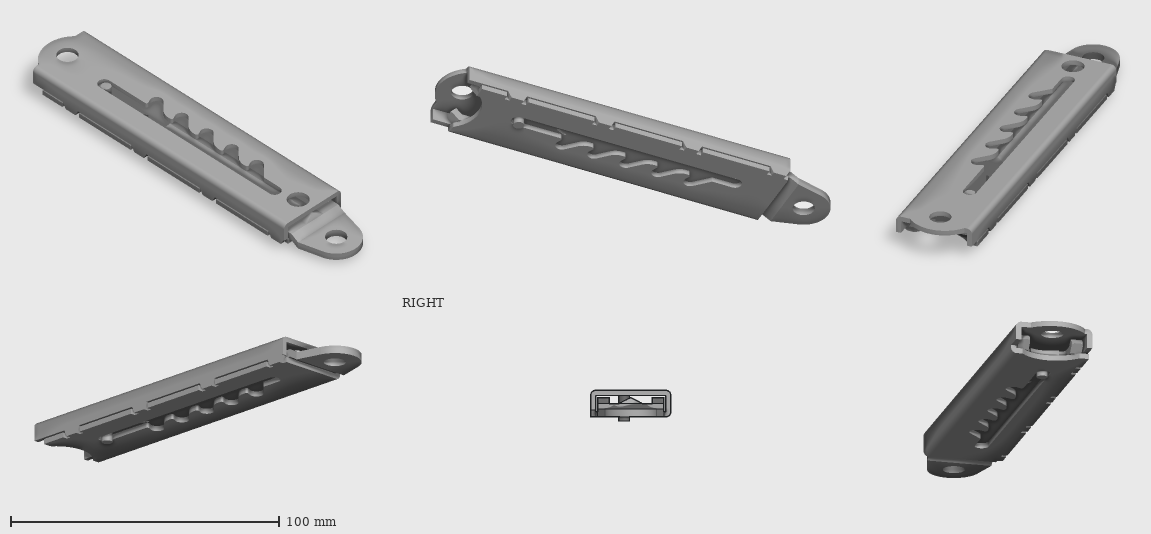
import cadquery as cq
import math

TOTAL_LENGTH = 160.69
SHEET = 2.0
HOUSING_WIDTH = 30.0
HOUSING_HEIGHT = 10.0
PIN_PROTRUSION = 1.5
MOUNT_HOLE_DIA = 8.3

LEFT_END = -TOTAL_LENGTH / 2
RIGHT_END = TOTAL_LENGTH / 2
HALF_WIDTH = HOUSING_WIDTH / 2
HOUSING_BOTTOM = PIN_PROTRUSION
HOUSING_TOP = HOUSING_BOTTOM + HOUSING_HEIGHT
FLOOR = HOUSING_BOTTOM + SHEET
CEILING = HOUSING_TOP - SHEET
HOUSING_RIGHT = 57.9
BEND_RADIUS = 2.0
CUT_MARGIN = 1.0
PICK_REACH = 0.1

HEAD_RADIUS = 14.0
HEAD_Y = -0.5
HEAD_X = LEFT_END + HEAD_RADIUS
BACK_WALL_LEFT = -76.3
FRONT_WALL_LEFT = -74.2
BACK_WALL_BOTTOM = 4.5
FRONT_WALL_BOTTOM = 4.1
FLOOR_LEFT = -69.1
FLOOR_NOTCH_HALF_WIDTH = 11.0
FLOOR_CORNER_RADIUS = 1.2

LEFT_HOLE_X = -70.5
ACCESS_HOLE_X = 50.8
TOP_HOLE_Y = -0.5
ACCESS_HOLE_DIA = 8.6

TAB_COUNT = 4
TAB_PITCH = 36.0
TAB_NOTCH_HALF = 4.35
TAB_ROOT_HALF = 3.9
TAB_TIP_HALF = 2.5
LAST_TAB_X = HOUSING_RIGHT - TAB_NOTCH_HALF

SLOT_LEFT = -51.4
SLOT_RIGHT = 43.4
SLOT_EDGE_Y = -0.25
SLOT_WIDTH = 5.25
SLOT_Y = SLOT_EDGE_Y - SLOT_WIDTH / 2
TOOTH_COUNT = 5
TOOTH_PITCH = 13.19
FIRST_TOOTH_X = -27.55
TOOTH_Y = 3.4
TOOTH_RADIUS = 2.6
RAMP_ANGLE = 45.0
HOOK_ANGLE = 65.0
HOOK_LIP_RADIUS = 0.8
RAMP_BLEND_RADIUS = 6.0

SLIDER_THICKNESS = 3.0
SLIDER_HALF_WIDTH = 12.35
SLIDER_BOTTOM = FLOOR
SLIDER_TOP = SLIDER_BOTTOM + SLIDER_THICKNESS
JOG_START = 59.1
JOG_END = 62.5
JOG_DROP = FLOOR - HOUSING_BOTTOM
TONGUE_RADIUS = 10.0
TONGUE_X = RIGHT_END - TONGUE_RADIUS
TAPER_START = JOG_END
FORK_X = -60.1
FORK_HALF_WIDTH = 8.0
FORK_CORNER_RADIUS = 2.5
ARM_BEND_X = -68.0
ARM_RISE = 3.1
ARM_ANGLE = 45.0
ARM_TIP_X = ARM_BEND_X - ARM_RISE / math.tan(math.radians(ARM_ANGLE))
ARM_CORNER_RADIUS = 1.0

RIDGE_LEFT = -18.6
RIDGE_RIGHT = JOG_START
RIDGE_HALF_WIDTH = 4.4
RIDGE_HEIGHT = 2.3
RIDGE_END_RUN = 1.5

PIN_X = -48.2
PIN_Y = -2.5
PIN_DIA = 4.1
PIN_TOP = CEILING + SHEET / 2
CARRIER_END_RADIUS = 10.4
CARRIER_HALF_WIDTH = 5.45
CARRIER_SHOULDER_X = -32.3
FINGER_RIGHT = -23.9
FINGER_TOP_Y = 0.6
FINGER_CORNER_RADIUS = 1.2
RELIEF_START = (-31.8, -2.3)
RELIEF_END = (-28.2, -0.7)
RELIEF_WIDTH = 0.9


def box(x0, x1, y0, y1, z0, z1):
    return cq.Workplane("XY").box(x1 - x0, y1 - y0, z1 - z0, centered=False).translate((x0, y0, z0))


def disc(x, y, radius, z0, z1):
    return cq.Workplane("XY", origin=(x, y, z0)).circle(radius).extrude(z1 - z0)


def toothed_slot():
    """Cutter for the slot and its teeth, through the top and the floor."""
    z0 = HOUSING_BOTTOM - CUT_MARGIN
    height = HOUSING_HEIGHT + 2 * CUT_MARGIN
    slot = (
        cq.Workplane("XY", origin=((SLOT_LEFT + SLOT_RIGHT) / 2, SLOT_Y, z0))
        .slot2D(SLOT_RIGHT - SLOT_LEFT, SLOT_WIDTH)
        .extrude(height)
    )
    ramp = math.radians(RAMP_ANGLE)
    hook = math.radians(HOOK_ANGLE)
    ramp_x = TOOTH_RADIUS * math.sin(ramp)
    ramp_y = TOOTH_Y + TOOTH_RADIUS * math.cos(ramp)
    hook_x = -TOOTH_RADIUS * math.sin(hook)
    hook_y = TOOTH_Y - TOOTH_RADIUS * math.cos(hook)
    ramp_foot = ramp_x + (ramp_y - SLOT_EDGE_Y) / math.tan(ramp)
    hook_foot = hook_x + (hook_y - SLOT_EDGE_Y) / math.tan(hook)
    for i in range(TOOTH_COUNT):
        x = FIRST_TOOTH_X + i * TOOTH_PITCH
        tooth = (
            cq.Workplane("XY", origin=(x, 0, z0))
            .moveTo(hook_foot, SLOT_EDGE_Y)
            .lineTo(hook_x, hook_y)
            .threePointArc((0, TOOTH_Y + TOOTH_RADIUS), (ramp_x, ramp_y))
            .lineTo(ramp_foot, SLOT_EDGE_Y)
            .lineTo(ramp_foot, SLOT_Y)
            .lineTo(hook_foot, SLOT_Y)
            .close()
            .extrude(height)
        )
        slot = slot.union(tooth)

    def edges_at(x):
        return cq.selectors.BoxSelector(
            (x - PICK_REACH, SLOT_EDGE_Y - PICK_REACH, z0),
            (x + PICK_REACH, SLOT_EDGE_Y + PICK_REACH, z0 + height),
        )

    for i in range(TOOTH_COUNT):
        x = FIRST_TOOTH_X + i * TOOTH_PITCH
        slot = slot.edges("|Z").edges(edges_at(x + hook_foot)).fillet(HOOK_LIP_RADIUS)
        if i < TOOTH_COUNT - 1:
            slot = slot.edges("|Z").edges(edges_at(x + ramp_foot)).fillet(RAMP_BLEND_RADIUS)
    return slot


def tab(x):
    """Trapezoid hanging from the -Y wall through the edge of the floor."""
    return (
        cq.Workplane("XZ", origin=(x, -HALF_WIDTH + SHEET, 0))
        .polyline(
            [
                (-TAB_ROOT_HALF, FRONT_WALL_BOTTOM),
                (TAB_ROOT_HALF, FRONT_WALL_BOTTOM),
                (TAB_TIP_HALF, HOUSING_BOTTOM),
                (-TAB_TIP_HALF, HOUSING_BOTTOM),
            ]
        )
        .close()
        .extrude(SHEET)
    )


def make_housing():
    sheet = box(LEFT_END, HOUSING_RIGHT, -HALF_WIDTH, HALF_WIDTH, HOUSING_BOTTOM, HOUSING_TOP)
    bends = sheet.edges("|X and >Z").vals() + sheet.edges("|X and <Z and >Y").vals()
    sheet = sheet.newObject(bends).fillet(BEND_RADIUS)
    inner = HALF_WIDTH - SHEET
    sheet = sheet.cut(box(LEFT_END, HOUSING_RIGHT, -inner, inner, FLOOR, CEILING))

    back_trim = box(LEFT_END, BACK_WALL_LEFT, HEAD_Y, HALF_WIDTH, 0, HOUSING_TOP)
    front_trim = box(LEFT_END, FRONT_WALL_LEFT, -HALF_WIDTH, HEAD_Y, 0, HOUSING_TOP)
    head = disc(HEAD_X, HEAD_Y, HEAD_RADIUS, CEILING, HOUSING_TOP)
    sheet = sheet.cut(back_trim.union(front_trim).cut(head))
    sheet = sheet.cut(box(LEFT_END, FLOOR_LEFT, -HALF_WIDTH, HALF_WIDTH, 0, FRONT_WALL_BOTTOM))
    sheet = sheet.cut(box(LEFT_END, FLOOR_LEFT, 0, HALF_WIDTH, 0, BACK_WALL_BOTTOM))
    notch_x = FLOOR_LEFT - math.sqrt(HEAD_RADIUS**2 - FLOOR_NOTCH_HALF_WIDTH**2)
    sheet = sheet.cut(disc(notch_x, HEAD_Y, HEAD_RADIUS, 0, FLOOR))
    mouth = cq.selectors.BoxSelector(
        (FLOOR_LEFT - CUT_MARGIN, HEAD_Y - FLOOR_NOTCH_HALF_WIDTH - CUT_MARGIN, 0),
        (FLOOR_LEFT + CUT_MARGIN, HEAD_Y + FLOOR_NOTCH_HALF_WIDTH + CUT_MARGIN, FLOOR),
    )
    sheet = sheet.edges("|Z").edges(mouth).fillet(FLOOR_CORNER_RADIUS)

    sheet = sheet.cut(box(LEFT_END, HOUSING_RIGHT, -HALF_WIDTH, -inner, FLOOR, FRONT_WALL_BOTTOM))
    for i in range(TAB_COUNT):
        x = LAST_TAB_X - i * TAB_PITCH
        sheet = sheet.cut(
            box(x - TAB_NOTCH_HALF, x + TAB_NOTCH_HALF, -HALF_WIDTH, -inner, HOUSING_BOTTOM, FLOOR)
        )
        sheet = sheet.union(tab(x))

    for x, diameter in ((LEFT_HOLE_X, MOUNT_HOLE_DIA), (ACCESS_HOLE_X, ACCESS_HOLE_DIA)):
        sheet = sheet.cut(disc(x, TOP_HOLE_Y, diameter / 2, CEILING, HOUSING_TOP))
    return sheet.cut(toothed_slot())


def slider_outline():
    """Plan of the slider: fork at the left, tapered round tongue at the right."""
    dx = TAPER_START - TONGUE_X
    reach = math.hypot(dx, SLIDER_HALF_WIDTH)
    tangent = math.atan2(SLIDER_HALF_WIDTH, dx) - math.acos(TONGUE_RADIUS / reach)
    tx = TONGUE_X + TONGUE_RADIUS * math.cos(tangent)
    ty = TONGUE_RADIUS * math.sin(tangent)
    plate = (
        cq.Workplane("XY")
        .moveTo(ARM_TIP_X, -SLIDER_HALF_WIDTH)
        .lineTo(TAPER_START, -SLIDER_HALF_WIDTH)
        .lineTo(tx, -ty)
        .threePointArc((RIGHT_END, 0), (tx, ty))
        .lineTo(TAPER_START, SLIDER_HALF_WIDTH)
        .lineTo(ARM_TIP_X, SLIDER_HALF_WIDTH)
        .lineTo(ARM_TIP_X, FORK_HALF_WIDTH)
        .lineTo(FORK_X, FORK_HALF_WIDTH)
        .lineTo(FORK_X, -FORK_HALF_WIDTH)
        .lineTo(ARM_TIP_X, -FORK_HALF_WIDTH)
        .close()
        .extrude(HOUSING_TOP)
    )
    plate = plate.edges("|Z and <X").fillet(ARM_CORNER_RADIUS)
    fork_area = cq.selectors.BoxSelector(
        (FORK_X - CUT_MARGIN, -SLIDER_HALF_WIDTH, -CUT_MARGIN),
        (FORK_X + CUT_MARGIN, SLIDER_HALF_WIDTH, HOUSING_TOP + CUT_MARGIN),
    )
    return plate.edges("|Z").edges(fork_area).fillet(FORK_CORNER_RADIUS)


def slider_side():
    """Side profile of the plate: arms bent up, tongue stepped down."""
    bend_shift = SLIDER_THICKNESS * math.tan(math.radians(ARM_ANGLE / 2))
    tip_shift_x = SLIDER_THICKNESS * math.sin(math.radians(ARM_ANGLE))
    tip_shift_z = SLIDER_THICKNESS * math.cos(math.radians(ARM_ANGLE))
    tip_z = SLIDER_BOTTOM + ARM_RISE
    return (
        cq.Workplane("XZ", origin=(0, SLIDER_HALF_WIDTH, 0))
        .polyline(
            [
                (ARM_BEND_X, SLIDER_BOTTOM),
                (JOG_START, SLIDER_BOTTOM),
                (JOG_END, SLIDER_BOTTOM - JOG_DROP),
                (RIGHT_END, SLIDER_BOTTOM - JOG_DROP),
                (RIGHT_END, SLIDER_TOP - JOG_DROP),
                (JOG_END, SLIDER_TOP - JOG_DROP),
                (JOG_START, SLIDER_TOP),
                (ARM_BEND_X + bend_shift, SLIDER_TOP),
                (ARM_TIP_X + tip_shift_x, tip_z + tip_shift_z),
                (ARM_TIP_X, tip_z),
            ]
        )
        .close()
        .extrude(2 * SLIDER_HALF_WIDTH)
    )


def carrier_block():
    """Plate that fills the slider's window: a wide part with a finger on its right."""
    end_x = LEFT_HOLE_X + math.sqrt(CARRIER_END_RADIUS**2 - CARRIER_HALF_WIDTH**2)
    block = (
        cq.Workplane("XY", origin=(0, 0, SLIDER_BOTTOM))
        .moveTo(end_x, -CARRIER_HALF_WIDTH)
        .lineTo(FINGER_RIGHT, -CARRIER_HALF_WIDTH)
        .lineTo(FINGER_RIGHT, FINGER_TOP_Y)
        .lineTo(CARRIER_SHOULDER_X, FINGER_TOP_Y)
        .lineTo(CARRIER_SHOULDER_X, CARRIER_HALF_WIDTH)
        .lineTo(end_x, CARRIER_HALF_WIDTH)
        .threePointArc((LEFT_HOLE_X + CARRIER_END_RADIUS, 0), (end_x, -CARRIER_HALF_WIDTH))
        .close()
        .extrude(SLIDER_THICKNESS)
    )
    return block.edges("|Z and >X").fillet(FINGER_CORNER_RADIUS)


def make_slider():
    plate = slider_outline().intersect(slider_side())
    plate = plate.cut(disc(TONGUE_X, 0, MOUNT_HOLE_DIA / 2, 0, HOUSING_TOP))
    return plate.cut(carrier_block())


def make_ridge():
    """Roof-shaped rib with sloped ends, lying on top of the slider."""
    roof = (
        cq.Workplane("YZ", origin=(RIDGE_LEFT, 0, SLIDER_TOP))
        .polyline([(-RIDGE_HALF_WIDTH, 0), (RIDGE_HALF_WIDTH, 0), (0, RIDGE_HEIGHT)])
        .close()
        .extrude(RIDGE_RIGHT - RIDGE_LEFT)
    )
    side = (
        cq.Workplane("XZ", origin=(0, RIDGE_HALF_WIDTH, SLIDER_TOP))
        .polyline(
            [
                (RIDGE_LEFT, 0),
                (RIDGE_RIGHT, 0),
                (RIDGE_RIGHT - RIDGE_END_RUN, RIDGE_HEIGHT),
                (RIDGE_LEFT + RIDGE_END_RUN, RIDGE_HEIGHT),
            ]
        )
        .close()
        .extrude(2 * RIDGE_HALF_WIDTH)
    )
    return roof.intersect(side)


def make_pin():
    return disc(PIN_X, PIN_Y, PIN_DIA / 2, 0, PIN_TOP)


def make_carrier():
    dx = RELIEF_END[0] - RELIEF_START[0]
    dy = RELIEF_END[1] - RELIEF_START[1]
    middle = ((RELIEF_START[0] + RELIEF_END[0]) / 2, (RELIEF_START[1] + RELIEF_END[1]) / 2)
    relief = (
        cq.Workplane("XY", origin=(*middle, SLIDER_BOTTOM))
        .slot2D(math.hypot(dx, dy) + RELIEF_WIDTH, RELIEF_WIDTH, math.degrees(math.atan2(dy, dx)))
        .extrude(SLIDER_THICKNESS)
    )
    return carrier_block().cut(relief).cut(make_pin())


housing = make_housing()
slider = make_slider()
ridge = make_ridge()
carrier = make_carrier()
pin = make_pin()

result = cq.Compound.makeCompound(
    [housing.val(), slider.val(), ridge.val(), carrier.val(), pin.val()]
)